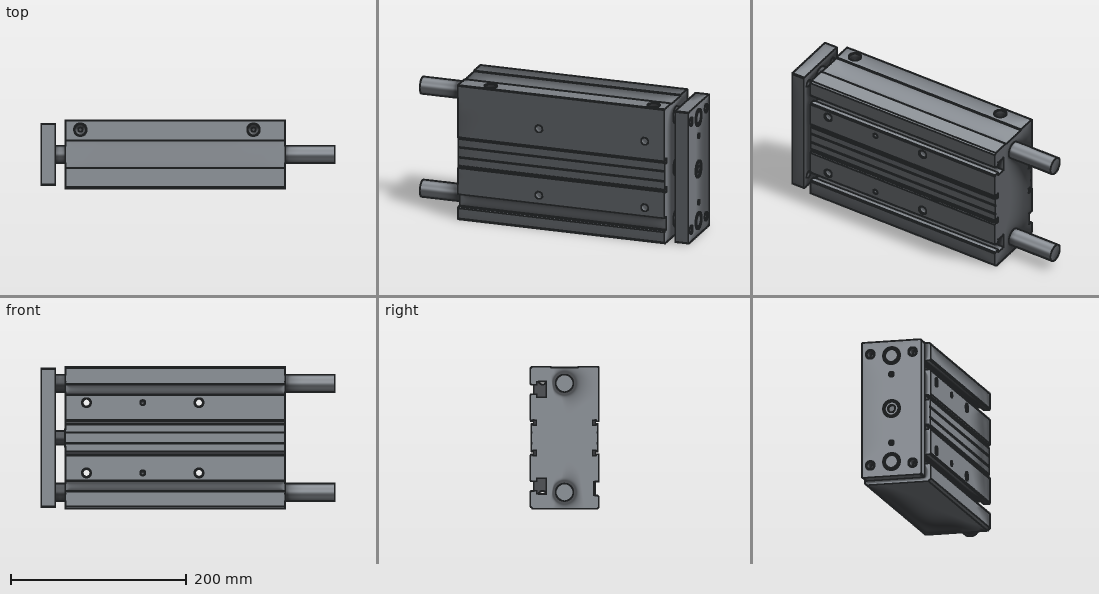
import cadquery as cq
import math


total_length = 334.0
plate_thickness = 16.0
plate_gap = 11.5
housing_length = 250.0
housing_start = plate_thickness + plate_gap
housing_end = housing_start + housing_length

housing_width = 78.0
housing_height = 162.0
half_width = housing_width / 2
half_height = housing_height / 2
front_top_chamfer = 2.0
back_top_chamfer = 1.0
front_bottom_chamfer = 3.0
back_bottom_chamfer = 2.0
top_recess_width = 32.0
top_recess_depth = 1.0
top_recess_slope = 0.7

t_slot_offset = 55.0
t_slot_mouth = 10.6
t_slot_head = 17.8
t_slot_lip = 7.2
t_slot_depth = 18.5
t_slot_chamfer_height = 1.3
t_slot_chamfer_depth = 1.0

back_groove_top = -50.0
back_groove_width = 15.5
back_groove_depth = 6.0
back_groove_chamfer = 1.5

band_depth = 1.0
sensor_mouth_inner = 16.0
sensor_mouth_width = 2.6
sensor_mouth_outer = sensor_mouth_inner + sensor_mouth_width
sensor_head_overhang = 1.6
sensor_lip_depth = 3.4
sensor_groove_depth = 7.0
sensor_outer_chamfer_height = 2.1
sensor_inner_chamfer_height = 0.9
sensor_inner_chamfer_depth = 0.5

marker_offset = 6.0
marker_width = 1.0
marker_depth = 0.5

mount_hole_inset = 24.0
mount_hole_spacing = 128.0
mount_hole_z = 40.0
mount_hole_diameter = 8.6
mount_hole_rim = 10.5
pin_hole_z = mount_hole_z
pin_hole_diameter = 5.0
pin_hole_rim = 6.0
pin_hole_depth = 8.0
drill_point_angle = 118.0

port_inset = 17.0
port_spacing = 197.0
port_y = 28.0
port_diameter = 13.0
port_rim = 14.6
port_depth = 12.0
port_passage_diameter = 5.0
port_passage_depth = 20.0

plate_width = 70.0
plate_height = 158.0
plate_corner_chamfer = 1.0
plate_hole_y = 25.0
plate_hole_z = 65.0
plate_hole_diameter = mount_hole_diameter
plate_hole_rim = mount_hole_rim

guide_rod_z = 62.0
guide_rod_diameter = 20.0
guide_tip_diameter = 16.5
guide_tip_chamfer = 0.9
shoulder_inset = 1.0

piston_diameter = 20.0
piston_neck_diameter = 16.0
piston_head_thickness = 5.0
piston_collar_reach = 0.7
piston_length_in_housing = 200.0
piston_socket_diameter = 8.6
piston_socket_depth = 3.0
piston_head_end = shoulder_inset + piston_head_thickness
piston_end = housing_start + piston_length_in_housing


def rod_along_x(diameter, start, end, z=0.0):
    """Cylinder along X at Y = 0."""
    return cq.Workplane("YZ", origin=(start, 0, z)).circle(diameter / 2).extrude(end - start)


def housing_bar(points):
    """Bar over the housing length with the given (Y, Z) outline."""
    return cq.Workplane("YZ", origin=(housing_start, 0, 0)).polyline(points).close().extrude(housing_length)


def rimmed_hole(point, direction, diameter, depth, rim):
    """Cutter for a flat hole with a 45 degree countersunk rim."""
    at = cq.Vector(*point)
    along = cq.Vector(*direction)
    rim_depth = (rim - diameter) / 2
    drill = cq.Solid.makeCylinder(diameter / 2, depth, at, along)
    countersink = cq.Solid.makeCone(rim / 2, diameter / 2, rim_depth, at, along)
    return cq.Workplane(drill).union(cq.Workplane(countersink))


def drilled_hole(point, direction, diameter, depth, rim):
    """Cutter for a rimmed blind hole that ends in a drill point."""
    along = cq.Vector(*direction)
    bottom = cq.Vector(*point) + along * depth
    point_height = diameter / 2 / math.tan(math.radians(drill_point_angle / 2))
    drill_point = cq.Solid.makeCone(diameter / 2, 0, point_height, bottom, along)
    return rimmed_hole(point, direction, diameter, depth, rim).union(cq.Workplane(drill_point))


def housing_blank():
    w = half_width
    h = half_height
    return housing_bar([
        (-w + front_top_chamfer, h),
        (w - back_top_chamfer, h),
        (w, h - back_top_chamfer),
        (w, -h + back_bottom_chamfer),
        (w - back_bottom_chamfer, -h),
        (-w + front_bottom_chamfer, -h),
        (-w, -h + front_bottom_chamfer),
        (-w, h - front_top_chamfer),
    ])


def top_recess():
    edge = top_recess_width / 2
    floor_edge = edge - top_recess_slope
    floor_z = half_height - top_recess_depth
    return housing_bar([
        (-edge, half_height),
        (edge, half_height),
        (floor_edge, floor_z),
        (-floor_edge, floor_z),
    ])


def t_slot(center_z):
    face = -half_width
    chamfer_y = face + t_slot_chamfer_depth
    lip_y = face + t_slot_lip
    floor_y = face + t_slot_depth
    mouth = t_slot_mouth / 2
    rim = mouth + t_slot_chamfer_height
    head = t_slot_head / 2
    upper_half = [(face, rim), (chamfer_y, mouth), (lip_y, mouth), (lip_y, head), (floor_y, head)]
    lower_half = [(y, -z) for y, z in reversed(upper_half)]
    return housing_bar([(y, center_z + z) for y, z in upper_half + lower_half])


def back_groove():
    floor_y = half_width - back_groove_depth
    bottom = back_groove_top - back_groove_width
    return housing_bar([
        (half_width, back_groove_top),
        (floor_y, back_groove_top),
        (floor_y, bottom),
        (half_width - back_groove_chamfer, bottom),
        (half_width, bottom - back_groove_chamfer),
    ])


def side_band(side):
    """Shallow cut that lowers the middle of one Y side, out to the sensor grooves."""
    face = side * half_width
    floor_y = side * (half_width - band_depth)
    edge = sensor_mouth_outer
    return housing_bar([(face, -edge), (floor_y, -edge), (floor_y, edge), (face, edge)])


def sensor_groove(side, half):
    """Undercut groove on one Y side, in the upper (half = 1) or lower (half = -1) half."""
    mouth_y = side * (half_width - band_depth)
    lip_y = side * (half_width - sensor_lip_depth)
    floor_y = side * (half_width - sensor_groove_depth)
    inner = half * sensor_mouth_inner
    outer = half * sensor_mouth_outer
    head_inner = half * (sensor_mouth_inner - sensor_head_overhang)
    head_outer = half * (sensor_mouth_outer + sensor_head_overhang)
    return housing_bar([
        (mouth_y, inner), (lip_y, inner), (lip_y, head_inner), (floor_y, head_inner),
        (floor_y, head_outer), (lip_y, head_outer), (lip_y, outer), (mouth_y, outer),
    ])


def sensor_outer_chamfer(half):
    """Slope from the -Y face down to the mouth of a sensor groove."""
    outer = half * sensor_mouth_outer
    rim = half * (sensor_mouth_outer + sensor_outer_chamfer_height)
    return housing_bar([(-half_width, outer), (-half_width + band_depth, outer), (-half_width, rim)])


def sensor_inner_chamfer(half):
    """Slope from the -Y band into the mouth of a sensor groove."""
    band_y = -half_width + band_depth
    inner = half * sensor_mouth_inner
    rim = half * (sensor_mouth_inner - sensor_inner_chamfer_height)
    return housing_bar([(band_y, rim), (band_y + sensor_inner_chamfer_depth, inner), (band_y, inner)])


def marker_line(side, half):
    band_y = side * (half_width - band_depth)
    floor_y = side * (half_width - band_depth - marker_depth)
    low = half * marker_offset - marker_width / 2
    high = low + marker_width
    return housing_bar([(band_y, low), (floor_y, low), (floor_y, high), (band_y, high)])


def cut_profile(body):
    """Cut everything that runs over the whole length of the housing."""
    body = body.cut(top_recess()).cut(back_groove())
    for side in (-1, 1):
        body = body.cut(side_band(side))
        for half in (-1, 1):
            body = body.cut(sensor_groove(side, half))
            body = body.cut(marker_line(side, half))
    for half in (-1, 1):
        body = body.cut(t_slot(half * t_slot_offset))
        body = body.cut(sensor_outer_chamfer(half))
        body = body.cut(sensor_inner_chamfer(half))
    return body


def cut_mounting_holes(body):
    inward = (0, 1, 0)
    first_x = housing_start + mount_hole_inset
    for half in (-1, 1):
        for x in (first_x, first_x + mount_hole_spacing):
            start = (x, -half_width, half * mount_hole_z)
            body = body.cut(rimmed_hole(start, inward, mount_hole_diameter, housing_width, mount_hole_rim))
        start = (first_x + mount_hole_spacing / 2, -half_width, half * pin_hole_z)
        body = body.cut(drilled_hole(start, inward, pin_hole_diameter, pin_hole_depth, pin_hole_rim))
    return body


def cut_ports(body):
    down = (0, 0, -1)
    first_x = housing_start + port_inset
    for x in (first_x, first_x + port_spacing):
        start = (x, port_y, half_height)
        passage = cq.Solid.makeCylinder(
            port_passage_diameter / 2, port_passage_depth, cq.Vector(*start), cq.Vector(*down))
        body = body.cut(drilled_hole(start, down, port_diameter, port_depth, port_rim))
        body = body.cut(cq.Workplane(passage))
    return body


def make_housing():
    body = cut_ports(cut_mounting_holes(cut_profile(housing_blank())))
    for half in (-1, 1):
        body = body.cut(rod_along_x(guide_rod_diameter, housing_start, housing_end, half * guide_rod_z))
    return body.cut(rod_along_x(piston_diameter, housing_start, piston_end))


def make_front_plate():
    plate = cq.Workplane("YZ").rect(plate_width, plate_height).extrude(plate_thickness)
    plate = plate.edges("|X").chamfer(plate_corner_chamfer)
    inward = (1, 0, 0)
    for half in (-1, 1):
        plate = plate.cut(rod_along_x(guide_rod_diameter, 0, plate_thickness, half * guide_rod_z))
        for y in (-plate_hole_y, plate_hole_y):
            start = (0, y, half * plate_hole_z)
            hole = rimmed_hole(start, inward, plate_hole_diameter, plate_thickness, plate_hole_rim)
            plate = plate.cut(hole)
        start = (0, 0, half * pin_hole_z)
        plate = plate.cut(drilled_hole(start, inward, pin_hole_diameter, pin_hole_depth, pin_hole_rim))
    plate = plate.cut(rod_along_x(piston_neck_diameter, 0, plate_thickness))
    return plate.cut(rod_along_x(piston_diameter, 0, piston_head_end))


def make_guide_rod(z):
    rod = rod_along_x(guide_rod_diameter, shoulder_inset, total_length, z)
    tip = rod_along_x(guide_tip_diameter, 0, plate_thickness, z).faces("<X").chamfer(guide_tip_chamfer)
    return rod.union(tip)


def make_piston_rod():
    rod = rod_along_x(piston_neck_diameter, 0, housing_start)
    rod = rod.union(rod_along_x(piston_diameter, shoulder_inset, piston_head_end))
    rod = rod.union(rod_along_x(piston_diameter, housing_start - piston_collar_reach, piston_end))
    return rod.cut(rod_along_x(piston_socket_diameter, 0, piston_socket_depth))


housing = make_housing()
front_plate = make_front_plate()
piston_rod = make_piston_rod()
guide_rods = [make_guide_rod(half * guide_rod_z) for half in (-1, 1)]

result = cq.Compound.makeCompound([
    housing.solids().val(),
    front_plate.solids().val(),
    piston_rod.solids().val(),
    *[guide_rod.solids().val() for guide_rod in guide_rods],
])